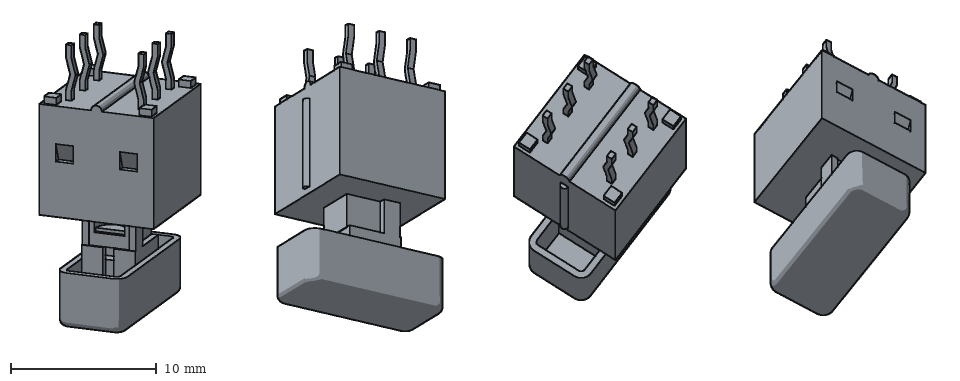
import cadquery as cq

OVERLAP = 0.1

total_height = 19.5
cap_height = 4.0
collar_top = 5.0
body_base = 7.5
body_top = 15.5

cap_width = 5.0
cap_length = 11.0
cap_wall = 0.5
cap_corner_radius = 0.82
cap_edge_radius = 0.5

collar_width = 4.0
collar_length = 4.15
collar_slot_width = 0.82
collar_slot_bottom = 2.44
collar_slot_depth = 0.49
socket_floor = cap_height

stem_size = collar_width
stem_core_width = 3.0
stem_rail_length = 1.29
stem_channel_depth = 0.1
window_width = 2.25
window_base = 5.95
window_depth = 0.3
hollow_base = 6.2

body_size = 8.5
latch_inner_x = 1.74
latch_outer_x = 3.02
latch_base = 11.5
latch_height = 1.27
latch_depth = 0.5

top_ridge_half_width = 0.4
top_ridge_height = 0.39
back_ridge_radius = 0.31
back_ridge_base = 8.0
back_ridge_top = 14.5

pad_size = 0.92
pad_height = 0.5
pad_inset = 0.25

pin_thickness = 0.4
pin_width = 0.49
pin_x = 2.7
pin_pitch = 2.5
pin_kink = 0.31
kink_middle = 17.4
kink_half_height = 1.19


def block(x_size, y_size, z_low, z_high, x=0.0, y=0.0):
    """Box centred on (x, y) between two heights."""
    return cq.Workplane("XY", origin=(x, y, z_low)).rect(x_size, y_size).extrude(z_high - z_low)


def make_cap():
    outer = block(cap_width, cap_length, 0, cap_height)
    outer = outer.edges("|Z").fillet(cap_corner_radius).faces("<Z").edges().fillet(cap_edge_radius)
    cavity = block(cap_width - 2 * cap_wall, cap_length - 2 * cap_wall, cap_wall, cap_height)
    cavity = cavity.edges("|Z").fillet(cap_corner_radius - cap_wall)
    return outer.cut(cavity)


def make_collar():
    collar = block(collar_width, collar_length, cap_wall - OVERLAP, collar_top)
    front = -collar_length / 2

    socket_front = front + collar_slot_depth
    socket_back = -stem_size / 2 + stem_rail_length
    socket = block(
        stem_core_width,
        socket_back - socket_front,
        socket_floor,
        collar_top,
        y=(socket_front + socket_back) / 2,
    )

    radius = collar_slot_width / 2
    slot = (
        cq.Workplane("XZ", origin=(0, front, 0))
        .moveTo(-radius, collar_top)
        .lineTo(-radius, collar_slot_bottom + radius)
        .threePointArc((0, collar_slot_bottom), (radius, collar_slot_bottom + radius))
        .lineTo(radius, collar_top)
        .close()
        .extrude(-collar_slot_depth)
    )
    return collar.cut(socket).cut(slot)


def make_stem():
    front = -stem_size / 2
    rail_back = front + stem_rail_length
    top = body_base + OVERLAP

    core_front = rail_back - OVERLAP
    core_back = stem_size / 2
    front_part = block(stem_size, stem_rail_length, collar_top, top, y=(front + rail_back) / 2)
    core = block(
        stem_core_width, core_back - core_front, collar_top, top, y=(core_front + core_back) / 2
    )

    panel = front + stem_channel_depth
    channel = block(stem_core_width, stem_channel_depth, collar_top, top, y=(front + panel) / 2)

    window_back = panel + window_depth
    window = block(window_width, window_depth, window_base, body_base, y=(panel + window_back) / 2)
    hollow = (
        cq.Workplane("XY", origin=(0, window_back, hollow_base))
        .circle(window_width / 2)
        .extrude(body_base - hollow_base)
    )
    return front_part.union(core).cut(channel).cut(window).cut(hollow)


def make_latch_recess(side):
    """Wedge recess in the front of the body: flat floor, sloping back."""
    front = -body_size / 2
    inner_x = latch_inner_x if side > 0 else -latch_outer_x
    return (
        cq.Workplane("YZ", origin=(inner_x, 0, 0))
        .moveTo(front, latch_base)
        .lineTo(front + latch_depth, latch_base)
        .lineTo(front, latch_base + latch_height)
        .close()
        .extrude(latch_outer_x - latch_inner_x)
    )


def make_body():
    body = block(body_size, body_size, body_base, body_top)
    for side in (-1, 1):
        body = body.cut(make_latch_recess(side))

    top_ridge = (
        cq.Workplane("XZ", origin=(0, body_size / 2, body_top))
        .moveTo(-top_ridge_half_width, 0)
        .threePointArc((0, top_ridge_height), (top_ridge_half_width, 0))
        .close()
        .extrude(body_size)
    )
    back_ridge = (
        cq.Workplane("XY", origin=(0, body_size / 2, back_ridge_base))
        .circle(back_ridge_radius)
        .extrude(back_ridge_top - back_ridge_base)
    )
    body = body.union(top_ridge).union(back_ridge)

    pad_offset = body_size / 2 - pad_inset - pad_size / 2
    for x in (-pad_offset, pad_offset):
        for y in (-pad_offset, pad_offset):
            pad = block(pad_size, pad_size, body_top - OVERLAP, body_top + pad_height, x, y)
            body = body.union(pad)
    return body


def make_pin(side, y):
    """Upright pin, kinked towards the middle of the body."""
    outer_x = side * (pin_x + pin_thickness / 2)
    inner_x = side * (pin_x - pin_thickness / 2)
    kink = side * pin_kink
    kink_low = kink_middle - kink_half_height
    kink_high = kink_middle + kink_half_height
    outline = [
        (outer_x, body_top - OVERLAP),
        (outer_x, kink_low),
        (outer_x - kink, kink_middle),
        (outer_x, kink_high),
        (outer_x, total_height),
        (inner_x, total_height),
        (inner_x, kink_high),
        (inner_x - kink, kink_middle),
        (inner_x, kink_low),
        (inner_x, body_top - OVERLAP),
    ]
    profile = cq.Workplane("XZ", origin=(0, y, 0)).polyline(outline).close()
    return profile.extrude(pin_width / 2, both=True)


result = make_cap().union(make_collar()).union(make_stem()).union(make_body())
for pin_side in (-1, 1):
    for pin_row in (-1, 0, 1):
        result = result.union(make_pin(pin_side, pin_row * pin_pitch))